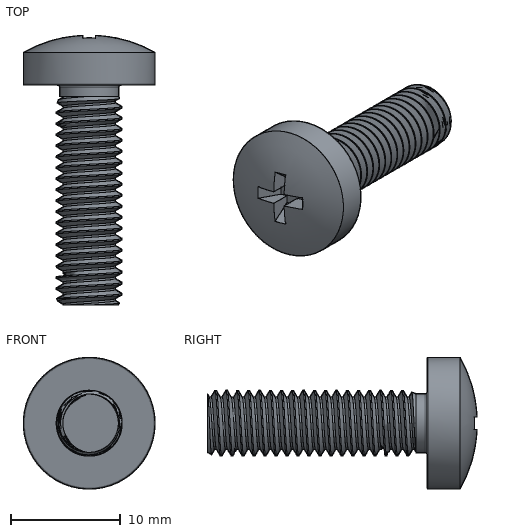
import cadquery as cq
import math


OVERALL_LENGTH = 24.55
SHANK_LENGTH = 20.0

HEAD_DIAMETER = 12.0
HEAD_RADIUS = HEAD_DIAMETER / 2
DOME_RADIUS = 12.2
HEAD_EDGE_FILLET = 0.1
UNDERHEAD_FILLET = 0.2

RECESS_WIDTH = 1.13
RECESS_RADIUS = 2.58
RECESS_FLOOR_RADIUS = 1.23
RECESS_DEPTH = 2.2

MAJOR_RADIUS = HEAD_RADIUS / 2
PITCH = MAJOR_RADIUS / 3
THREAD_DEPTH = 0.6 * PITCH
CREST_WIDTH = PITCH / 8
FLANK_ANGLE = math.radians(30)
ROOT_RADIUS = MAJOR_RADIUS - THREAD_DEPTH
ROOT_OVERLAP = 0.05

NECK_RADIUS = 2.7
NECK_LENGTH = 1.03
TIP_RADIUS = 2.65
TIP_TAPER_ANGLE = math.radians(30)
TIP_TAPER_LENGTH = (MAJOR_RADIUS - TIP_RADIUS) / math.tan(TIP_TAPER_ANGLE)
RUNOUT_LENGTH = 0.79

RECESS_CORNER_RADIUS = RECESS_WIDTH / math.sqrt(2)
DOME_CENTER_Y = OVERALL_LENGTH - math.sqrt(DOME_RADIUS**2 - RECESS_CORNER_RADIUS**2)
DOME_APEX_Y = DOME_CENTER_Y + DOME_RADIUS
RIM_Y = DOME_CENTER_Y + math.sqrt(DOME_RADIUS**2 - HEAD_RADIUS**2)


def revolve_about_y(outline):
    """Close an outline in the XY plane and turn it around the Y axis."""
    return outline.close().revolve(360, (0, 0, 0), (0, 1, 0))


def head_with_core():
    """Domed head, plain neck and the core cylinder the thread winds around."""
    neck_end_y = SHANK_LENGTH - NECK_LENGTH
    dome_mid_x = HEAD_RADIUS / 2
    dome_mid_y = DOME_CENTER_Y + math.sqrt(DOME_RADIUS**2 - dome_mid_x**2)
    outline = (
        cq.Workplane("XY")
        .moveTo(0, 0)
        .lineTo(ROOT_RADIUS, 0)
        .lineTo(ROOT_RADIUS, neck_end_y)
        .lineTo(NECK_RADIUS, neck_end_y)
        .lineTo(NECK_RADIUS, SHANK_LENGTH - UNDERHEAD_FILLET)
        .radiusArc((NECK_RADIUS + UNDERHEAD_FILLET, SHANK_LENGTH), UNDERHEAD_FILLET)
        .lineTo(HEAD_RADIUS - HEAD_EDGE_FILLET, SHANK_LENGTH)
        .radiusArc((HEAD_RADIUS, SHANK_LENGTH + HEAD_EDGE_FILLET), -HEAD_EDGE_FILLET)
        .lineTo(HEAD_RADIUS, RIM_Y)
        .threePointArc((dome_mid_x, dome_mid_y), (0, DOME_APEX_Y))
    )
    return revolve_about_y(outline)


def thread_envelope():
    """Space the thread may fill: tapered at the tip and at the runout under the neck."""
    runout_end_y = SHANK_LENGTH - NECK_LENGTH
    outline = (
        cq.Workplane("XY")
        .moveTo(0, 0)
        .lineTo(TIP_RADIUS, 0)
        .lineTo(MAJOR_RADIUS, TIP_TAPER_LENGTH)
        .lineTo(MAJOR_RADIUS, runout_end_y - RUNOUT_LENGTH)
        .lineTo(NECK_RADIUS, runout_end_y)
        .lineTo(0, runout_end_y)
    )
    return revolve_about_y(outline)


def thread_ridge():
    """Right-handed helical ridge with ruled flanks, overrunning both ends of the threaded length."""
    inner_radius = ROOT_RADIUS - ROOT_OVERLAP
    half_crest = CREST_WIDTH / 2
    half_base = half_crest + (MAJOR_RADIUS - inner_radius) * math.tan(FLANK_ANGLE)
    profile = [
        (inner_radius, -half_base),
        (MAJOR_RADIUS, -half_crest),
        (MAJOR_RADIUS, half_crest),
        (inner_radius, half_base),
    ]
    length = PITCH * (math.ceil(SHANK_LENGTH / PITCH) + 1)

    edges = [
        cq.Wire.makeHelix(PITCH, length, radius).translate(cq.Vector(0, 0, height))
        for radius, height in profile
    ]
    faces = [
        cq.Face.makeRuledSurface(edge, next_edge)
        for edge, next_edge in zip(edges, edges[1:] + edges[:1])
    ]
    for end_height in (0, length):
        corners = [cq.Vector(radius, 0, height + end_height) for radius, height in profile]
        faces.append(cq.Face.makeFromWires(cq.Wire.makePolygon(corners, close=True)))
    ridge = cq.Workplane(cq.Solid.makeSolid(cq.Shell.makeShell(faces)))

    return ridge.translate((0, 0, -PITCH)).rotate((0, 0, 0), (1, 0, 0), -90)


def cross_recess():
    """Two crossed wings, narrowing in reach towards the flat floor."""
    floor_y = DOME_APEX_Y - RECESS_DEPTH
    wing = (
        cq.Workplane("XY")
        .polyline([
            (-RECESS_FLOOR_RADIUS, floor_y),
            (RECESS_FLOOR_RADIUS, floor_y),
            (RECESS_RADIUS, DOME_APEX_Y),
            (-RECESS_RADIUS, DOME_APEX_Y),
        ])
        .close()
        .extrude(RECESS_WIDTH / 2, both=True)
    )
    return wing.union(wing.rotate((0, 0, 0), (0, 1, 0), 90))


thread = thread_ridge().intersect(thread_envelope())
result = head_with_core().cut(cross_recess()).union(thread)